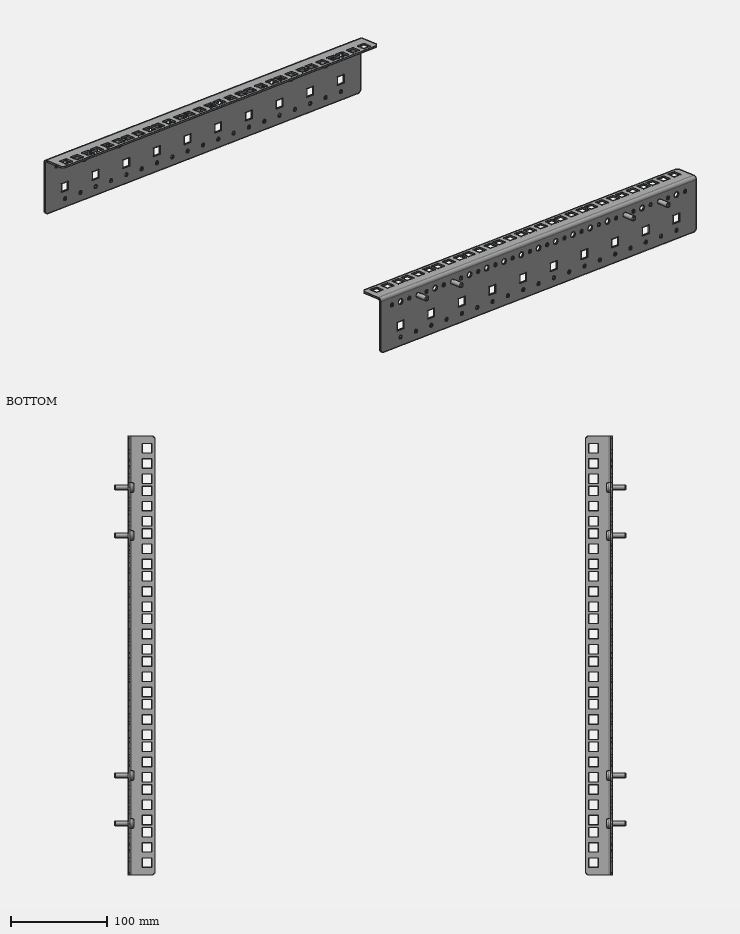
import cadquery as cq
OVERALL_WIDTH = 533.0
RAIL_LENGTH = 457.5
WALL_HEIGHT = 62.5

SHEET = 1.9
FLANGE_WIDTH = 28.0
BEND_RADIUS = 3.5
CORNER_CHAMFER = 2.5

STUD_REACH = 14.5
STUD_DIAMETER = 5.5
TIP_CHAMFER = 1.0
HEAD_DIAMETER = 10.0
HEAD_THICKNESS = 4.0
HEAD_ROUNDING = 2.0

UPPER_ROW_DEPTH = 12.0
UPPER_COUNT = 35
UPPER_SPAN = 425.0
UPPER_PITCH = UPPER_SPAN / (UPPER_COUNT - 1)
NARROW_HOLE = 4.0
WIDE_HOLE = 6.5
STUD_PLACES = (3, 7, 27, 31)

UNIT_COUNT = 10
UNIT_SPAN = 400.0
UNIT_PITCH = UNIT_SPAN / (UNIT_COUNT - 1)
SQUARE_SIDE = 9.5

SQUARE_ROW_DEPTH = 39.5
LOWER_ROW_DEPTH = 53.0
LOWER_COUNT = 2 * UNIT_COUNT - 1

HOLES_PER_UNIT = 3
FLANGE_HOLE_PITCH = UNIT_PITCH * 0.625 / 1.75
FLANGE_HOLE_INSET = 8.5

WALL_OUTER = OVERALL_WIDTH / 2 - STUD_REACH
WALL_INNER = WALL_OUTER - SHEET
FLANGE_EDGE = WALL_OUTER - FLANGE_WIDTH


def row(count, pitch):
    """Evenly spaced places along Y, centred on the origin."""
    return [(i - (count - 1) / 2) * pitch for i in range(count)]


def wall_plane(depth, y=0):
    """Plane on the inner face of the wall, facing outwards, at a depth below the top."""
    return cq.Workplane("YZ", origin=(WALL_INNER, y, -depth))


def angle():
    """Bent sheet with its wall at +X and its flange along the top, pointing inwards."""
    body = (
        cq.Workplane("XZ", origin=(0, RAIL_LENGTH / 2, 0))
        .moveTo(FLANGE_EDGE, 0)
        .lineTo(WALL_OUTER - BEND_RADIUS, 0)
        .radiusArc((WALL_OUTER, -BEND_RADIUS), BEND_RADIUS)
        .lineTo(WALL_OUTER, -WALL_HEIGHT)
        .lineTo(WALL_INNER, -WALL_HEIGHT)
        .lineTo(WALL_INNER, -BEND_RADIUS)
        .radiusArc((WALL_OUTER - BEND_RADIUS, -SHEET), SHEET - BEND_RADIUS)
        .lineTo(FLANGE_EDGE, -SHEET)
        .close()
        .extrude(RAIL_LENGTH)
    )
    body = body.faces("<Z").edges("|X").chamfer(CORNER_CHAMFER)
    return body.faces("<X").edges("|Z").chamfer(CORNER_CHAMFER)


def wall_round_holes(places, depth, diameter):
    points = [(y, 0) for y in places]
    return wall_plane(depth).pushPoints(points).circle(diameter / 2).extrude(SHEET)


def wall_square_holes():
    points = [(y, 0) for y in row(UNIT_COUNT, UNIT_PITCH)]
    return wall_plane(SQUARE_ROW_DEPTH).pushPoints(points).rect(SQUARE_SIDE, SQUARE_SIDE).extrude(SHEET)


def flange_holes():
    x = FLANGE_EDGE + FLANGE_HOLE_INSET
    units = row(UNIT_COUNT, UNIT_PITCH)
    offsets = row(HOLES_PER_UNIT, FLANGE_HOLE_PITCH)
    points = [(x, unit + offset) for unit in units for offset in offsets]
    return cq.Workplane("XY").pushPoints(points).rect(SQUARE_SIDE, SQUARE_SIDE).extrude(-SHEET)


def rail(upper_row, stud_row):
    """Right-hand rail with all its holes."""
    narrow = upper_row[0::2]
    wide = [y for y in upper_row[1::2] if y not in stud_row]
    lower = row(LOWER_COUNT, UNIT_PITCH / 2)
    return (
        angle()
        .cut(flange_holes())
        .cut(wall_round_holes(narrow, UPPER_ROW_DEPTH, NARROW_HOLE))
        .cut(wall_round_holes(wide, UPPER_ROW_DEPTH, WIDE_HOLE))
        .cut(wall_round_holes(stud_row, UPPER_ROW_DEPTH, STUD_DIAMETER))
        .cut(wall_square_holes())
        .cut(wall_round_holes(lower, LOWER_ROW_DEPTH, NARROW_HOLE))
    )


def stud(y):
    """Stud of the right-hand rail: head inside the wall, rod through it."""
    plane = wall_plane(UPPER_ROW_DEPTH, y)
    rod = plane.circle(STUD_DIAMETER / 2).extrude(SHEET + STUD_REACH).faces(">X").chamfer(TIP_CHAMFER)
    head = plane.circle(HEAD_DIAMETER / 2).extrude(-HEAD_THICKNESS).faces("<X").edges().fillet(HEAD_ROUNDING)
    return rod.union(head)


upper_places = row(UPPER_COUNT, UPPER_PITCH)
stud_places = [upper_places[i] for i in STUD_PLACES]

right_rail = rail(upper_places, stud_places).val()
right_studs = [stud(y).val() for y in stud_places]

left_rail = right_rail.mirror("YZ")
left_studs = [body.mirror("YZ") for body in right_studs]

result = cq.Compound.makeCompound([right_rail, *right_studs, left_rail, *left_studs])